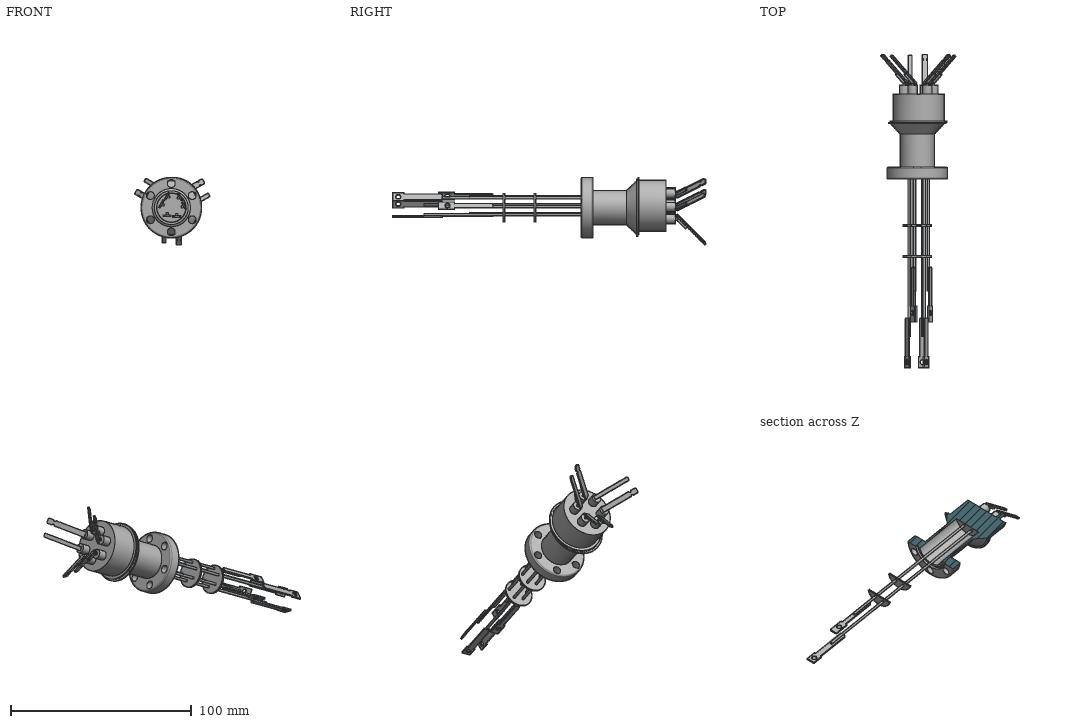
import cadquery as cq
import math


flange_radius = 16.8
flange_thickness = 6.6
flange_edge_radius = 0.7
bolt_circle_radius = 13.4
bolt_hole_diameter = 4.3
bolt_count = 6
first_bolt_angle = 90
recess_radius = 10.6
recess_depth = 1.4
knife_edge_radius = 9.4
knife_edge_depth = 0.5
bore_radius = 8.2

tube_radius = 9.5
cone_start = 25.0
cone_end = 30.7
cone_radius = 15.0
collar_radius = 16.0
lip_thickness = 0.7
collar_end = cone_end + lip_thickness

cap_x = 0.78
cap_z = 1.0
cap_radius = 14.2
cap_lip_radius = 15.8
cap_end = 47.0

conductor_count = 6
hexagon_turn = -5.5
first_pair_angle = 30
pair_spacing = 120
bushing_circle_radius = 8.2
bushing_radius = 2.6
bushing_length = 5.0
wire_circle_radius = 5.4
wire_radius = 0.7
sheet_thickness = 0.9
sheet_sink = 0.09
sheet_offset = wire_radius + sheet_thickness / 2 - sheet_sink
corner_radius = 0.7

spacer_radius = 8.0
spacer_thickness = 1.0
spacer_positions = (-25.7, -42.9)

pin_projection = 1.2
elbow_y = cap_end + bushing_length + pin_projection
lead_angle = 45
lead_stub_length = 7.0
lead_setback = 1.5
notch_radius = 0.7
notch_from_tip = 3.8

slim = dict(
    wire_end=62.0, strip_start=48.8, head_start=70.2, terminal_end=79.2,
    strip_width=2.5, head_width=4.3, hole_diameter=2.8, hole_from_end=5.0,
    lead_width=2.3, lead_length=20.3, notched=False,
)
wide = dict(
    wire_end=87.2, strip_start=77.0, head_start=98.3, terminal_end=104.5,
    strip_width=3.5, head_width=4.9, hole_diameter=2.8, hole_from_end=3.1,
    lead_width=3.1, lead_length=20.8, notched=True,
)


def cylinder(x, z, start, end, radius):
    """Round bar parallel to Y, centred on (x, z)."""
    length = end - start
    return cq.Workplane("XY").add(
        cq.Solid.makeCylinder(radius, length, cq.Vector(x, start, z), cq.Vector(0, 1, 0))
    )


def on_hexagon(index, radius):
    """X and Z of a hexagon corner around the cap axis."""
    angle = math.radians(360 / conductor_count * index + hexagon_turn)
    return cap_x + radius * math.cos(angle), cap_z + radius * math.sin(angle)


def pair_direction(index):
    """Outward direction shared by two neighbouring conductors: 30, 150 or 270 degrees."""
    angle = math.radians(first_pair_angle + pair_spacing * (index // 2))
    return cq.Vector(math.cos(angle), 0, math.sin(angle))


def make_shell():
    """Flange, tube, cone and collar as one turned body."""
    profile = [
        (bore_radius, knife_edge_depth),
        (knife_edge_radius, knife_edge_depth),
        (recess_radius, recess_depth),
        (recess_radius, 0),
        (flange_radius, 0),
        (flange_radius, flange_thickness),
        (tube_radius, flange_thickness),
        (tube_radius, cone_start),
        (cone_radius, cone_end),
        (collar_radius, cone_end),
        (collar_radius, collar_end),
        (bore_radius, collar_end),
    ]
    shell = cq.Workplane("XY").polyline(profile).close().revolve(360, (0, 0), (0, 1))
    rim = cq.selectors.RadiusNthSelector(-1)
    shell = shell.edges("%CIRCLE").edges(rim).fillet(flange_edge_radius)
    for i in range(bolt_count):
        angle = math.radians(first_bolt_angle + 360 / bolt_count * i)
        x = bolt_circle_radius * math.cos(angle)
        z = bolt_circle_radius * math.sin(angle)
        shell = shell.cut(cylinder(x, z, 0, flange_thickness, bolt_hole_diameter / 2))
    return shell


def make_cap():
    """Closed cap with its lip against the collar."""
    cap = cylinder(cap_x, cap_z, collar_end, cap_end, cap_radius)
    return cap.union(cylinder(cap_x, cap_z, collar_end, collar_end + lip_thickness, cap_lip_radius))


def make_terminal(index, kind):
    """Flat strip with a broader drilled head, lying on the outer side of its wire."""
    outward = pair_direction(index)
    x, z = on_hexagon(index, wire_circle_radius)
    origin = cq.Vector(x, 0, z) + outward * sheet_offset
    plane = cq.Plane(origin, xDir=(0, -1, 0), normal=outward)
    strip_length = kind["terminal_end"] - kind["strip_start"]
    head_length = kind["terminal_end"] - kind["head_start"]
    strip = (
        cq.Workplane(plane)
        .center(kind["strip_start"] + strip_length / 2, 0)
        .box(strip_length, kind["strip_width"], sheet_thickness)
        .edges(cq.selectors.ParallelDirSelector(outward))
        .edges(">Y")
        .fillet(corner_radius)
    )
    head = (
        cq.Workplane(plane)
        .center(kind["head_start"] + head_length / 2, 0)
        .box(head_length, kind["head_width"], sheet_thickness)
    )
    hole = (
        cq.Workplane(plane)
        .center(kind["terminal_end"] - kind["hole_from_end"], 0)
        .circle(kind["hole_diameter"] / 2)
        .extrude(sheet_thickness, both=True)
    )
    return strip.union(head).cut(hole)


def make_lead(index, kind):
    """Pin bent outward behind its bushing, with a flat strip on the inner side of the bend."""
    outward = pair_direction(index)
    x, z = on_hexagon(index, bushing_circle_radius)
    elbow = cq.Vector(x, elbow_y, z)
    angle = math.radians(lead_angle)
    along = outward * math.sin(angle) + cq.Vector(0, math.cos(angle), 0)
    inward = cq.Vector(0, math.sin(angle), 0) - outward * math.cos(angle)

    pin = cylinder(x, z, cap_end, elbow_y, wire_radius)
    joint = cq.Workplane("XY").sphere(wire_radius).translate(elbow)
    stub = cq.Workplane("XY").add(cq.Solid.makeCylinder(wire_radius, lead_stub_length, elbow, along))

    plane = cq.Plane(elbow + inward * sheet_offset, xDir=along, normal=inward)
    length = kind["lead_length"] + lead_setback
    strip = (
        cq.Workplane(plane)
        .center(length / 2 - lead_setback, 0)
        .box(length, kind["lead_width"], sheet_thickness)
        .edges(cq.selectors.ParallelDirSelector(inward))
        .edges(">Y")
        .fillet(corner_radius)
    )
    if kind["notched"]:
        half_width = kind["lead_width"] / 2
        notches = (
            cq.Workplane(plane)
            .center(kind["lead_length"] - notch_from_tip, 0)
            .pushPoints([(0, -half_width), (0, half_width)])
            .circle(notch_radius)
            .extrude(sheet_thickness, both=True)
        )
        strip = strip.cut(notches)
    return pin.union(joint).union(stub).union(strip)


def make_conductor(index):
    """Bushing, wire, terminal and lead of one conductor."""
    kind = wide if index % 2 else slim
    bushing_x, bushing_z = on_hexagon(index, bushing_circle_radius)
    wire_x, wire_z = on_hexagon(index, wire_circle_radius)
    bushing = cylinder(bushing_x, bushing_z, cap_end, cap_end + bushing_length, bushing_radius)
    wire = cylinder(wire_x, wire_z, -kind["wire_end"], collar_end, wire_radius)
    return bushing.union(wire).union(make_terminal(index, kind)).union(make_lead(index, kind))


result = make_shell().union(make_cap())
for position in spacer_positions:
    half = spacer_thickness / 2
    result = result.union(cylinder(0, 0, position - half, position + half, spacer_radius))
for index in range(conductor_count):
    result = result.union(make_conductor(index))